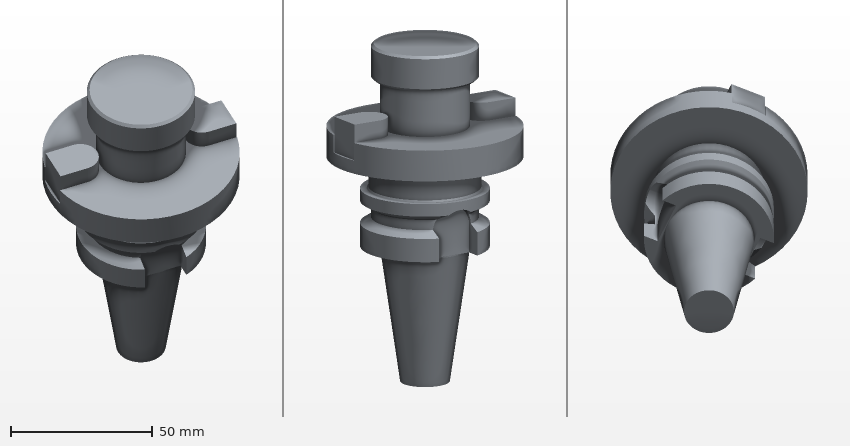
import cadquery as cq

total_height = 123.5

cut_clearance = 1.2

taper_height = 48.8
taper_top_radius = 15.9
taper_ratio = 7 / 24
taper_bottom_radius = taper_top_radius - taper_height * taper_ratio / 2

collar_radius = 23.0
collar_bottom = 49.4
collar_top = 70.7
groove_radius = 19.2
groove_lower_edge = 58.0
groove_upper_edge = 66.1
groove_flank_height = 2.2

slot_width = 16.0
slot_top = 67.6
slot_floor_distance = 16.3

neck_radius = 20.0
neck_flare = 0.6

flange_diameter = 69.8
flange_radius = flange_diameter / 2
flange_bottom = 82.2
flange_top = 93.4
pilot_radius = taper_top_radius

key_width = 13.1
key_height = key_width
key_top = 100.1
key_bottom = key_top - key_height
key_outer_distance = 34.0
key_inner_distance = 16.9

head_radius = 19.2
head_bottom = 110.8
head_chamfer_radial = 1.0
head_chamfer_axial = 0.9


def make_turned_arbor():
    """Revolve the half section of shank, collar, neck, flange and pilot."""
    half_section = [
        (0, 0),
        (taper_bottom_radius, 0),
        (taper_top_radius, taper_height),
        (taper_top_radius, collar_bottom),
        (collar_radius, collar_bottom),
        (collar_radius, groove_lower_edge),
        (groove_radius, groove_lower_edge + groove_flank_height),
        (groove_radius, groove_upper_edge - groove_flank_height),
        (collar_radius, groove_upper_edge),
        (collar_radius, collar_top),
        (neck_radius + neck_flare, collar_top),
        (neck_radius, collar_top + neck_flare),
        (neck_radius, flange_bottom),
        (flange_radius, flange_bottom),
        (flange_radius, flange_top),
        (pilot_radius, flange_top),
        (pilot_radius, head_bottom),
        (0, head_bottom),
    ]
    return cq.Workplane("XZ").polyline(half_section).close().revolve(360, (0, 0), (0, 1))


def make_drive_slot(side):
    """Round-topped cutter for the collar, on the X side given by -1 or +1."""
    half_width = slot_width / 2
    arc_start = slot_top - half_width
    return (
        cq.Workplane("YZ", origin=(side * slot_floor_distance, 0, 0))
        .moveTo(-half_width, collar_bottom)
        .lineTo(half_width, collar_bottom)
        .lineTo(half_width, arc_start)
        .threePointArc((0, slot_top), (-half_width, arc_start))
        .close()
        .extrude(side * (collar_radius + cut_clearance - slot_floor_distance))
    )


def make_key_outline(side, outer_distance, bottom):
    """Key with a round inner end, on the Y side given by -1 or +1."""
    half_width = key_width / 2
    arc_start = key_inner_distance + half_width
    return (
        cq.Workplane("XY", origin=(0, 0, bottom))
        .moveTo(-half_width, side * outer_distance)
        .lineTo(half_width, side * outer_distance)
        .lineTo(half_width, side * arc_start)
        .threePointArc((0, side * key_inner_distance), (-half_width, side * arc_start))
        .close()
        .extrude(key_top - bottom)
    )


def make_arbor():
    """Arbor with drive slots and integral keys standing in notches of the flange rim."""
    arbor = make_turned_arbor()
    for side in (-1, 1):
        arbor = arbor.cut(make_drive_slot(side))
        notch = make_key_outline(side, flange_radius + cut_clearance, key_bottom)
        key = make_key_outline(side, key_outer_distance, key_bottom)
        arbor = arbor.cut(notch).union(key)
    return arbor


def make_screw_head():
    """Disc resting on the pilot, chamfered on both rims."""
    rim_radius = head_radius - head_chamfer_radial
    half_section = [
        (0, head_bottom),
        (rim_radius, head_bottom),
        (head_radius, head_bottom + head_chamfer_axial),
        (head_radius, total_height - head_chamfer_axial),
        (rim_radius, total_height),
        (0, total_height),
    ]
    return cq.Workplane("XZ").polyline(half_section).close().revolve(360, (0, 0), (0, 1))


arbor = make_arbor()
screw_head = make_screw_head()

result = cq.Compound.makeCompound([arbor.solids().val(), screw_head.val()])